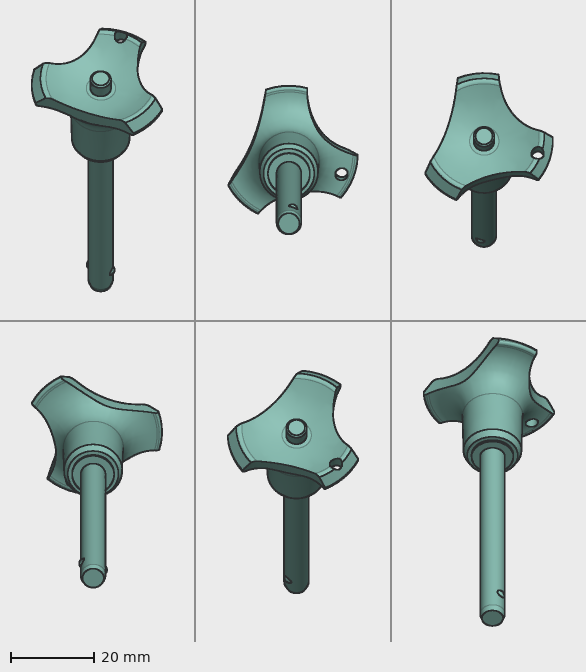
import cadquery as cq
import math


shank_radius = 3.0
shank_length = 57.1
tip_radius = 2.55
tip_height = 1.6

ball_radius = 1.25
ball_reach = 3.52
ball_height_above_tip = 6.35

collar_radius = 5.05
collar_height = 0.55
body_foot_radius = 6.1
body_low_radius = 7.0
body_low_z = 2.3
body_top_radius = 7.25
body_top_z = 14.7
flare_radius = 8.1

rim_radius = 16.6
rim_edge_z = 24.0
rim_corner_radius = 0.75
handle_top_z = 26.6
crest_outer_radius = 14.5
crest_inner_radius = 13.2
crest_drop = 0.15

dish_sphere_radius = 22.5
dish_floor_radius = 3.53

upper_lobe_half_width = 5.43
side_scallop_radius = 15.9
side_scallop_y = 13.5
front_scallop_radius = 52.0
front_scallop_y = -9.25

button_radius = 2.5
button_top_z = 26.35
button_chamfer = 0.45

lanyard_hole_radius = 1.5
lanyard_hole_y = 13.57


def make_shank():
    shank = cq.Workplane("XY").workplane(offset=-shank_length).circle(shank_radius)
    shank = shank.extrude(shank_length + body_low_z)
    return shank.faces("<Z").chamfer(tip_height, shank_radius - tip_radius)


def make_ball(side):
    ball_z = ball_height_above_tip - shank_length
    ball_x = side * (ball_reach - ball_radius)
    return cq.Workplane("XY").sphere(ball_radius).translate((ball_x, 0, ball_z))


def make_handle_revolution():
    """Revolve the handle profile: body, flare, rim, crest and dished top."""
    flare_center_r = body_top_radius + flare_radius
    flare_top_z = body_top_z + flare_radius
    flare_mid_r = flare_center_r - flare_radius * math.cos(math.pi / 4)
    flare_mid_z = body_top_z + flare_radius * math.sin(math.pi / 4)

    corner_inset = rim_corner_radius * (1 - math.cos(math.pi / 4))
    rim_under_radius = rim_radius - rim_corner_radius
    rim_wall_z = flare_top_z + rim_corner_radius
    corner_mid = (rim_radius - corner_inset, flare_top_z + corner_inset)

    crest_mid_r = (crest_outer_radius + crest_inner_radius) / 2
    crest_edge_z = handle_top_z - crest_drop

    def dish_depth(radius):
        return math.sqrt(dish_sphere_radius**2 - radius**2)

    dish_center_z = crest_edge_z + dish_depth(crest_inner_radius)
    dish_mid_r = (crest_inner_radius + dish_floor_radius) / 2
    dish_mid_z = dish_center_z - dish_depth(dish_mid_r)
    dish_floor_z = dish_center_z - dish_depth(dish_floor_radius)

    profile = (
        cq.Workplane("XZ")
        .moveTo(0, 0)
        .lineTo(collar_radius, 0)
        .lineTo(collar_radius, collar_height)
        .lineTo(body_foot_radius, collar_height)
        .lineTo(body_low_radius, body_low_z)
        .lineTo(body_top_radius, body_top_z)
        .threePointArc((flare_mid_r, flare_mid_z), (flare_center_r, flare_top_z))
        .lineTo(rim_under_radius, flare_top_z)
        .threePointArc(corner_mid, (rim_radius, rim_wall_z))
        .lineTo(rim_radius, rim_edge_z)
        .lineTo(crest_outer_radius, crest_edge_z)
        .threePointArc((crest_mid_r, handle_top_z), (crest_inner_radius, crest_edge_z))
        .threePointArc((dish_mid_r, dish_mid_z), (dish_floor_radius, dish_floor_z))
        .lineTo(0, dish_floor_z)
        .close()
    )
    return profile.revolve(360, (0, 0, 0), (0, 1, 0))


def vertical_cylinder(x, y, radius):
    """Cutter that passes through the full height of the handle."""
    return cq.Workplane("XY").center(x, y).circle(radius).extrude(handle_top_z)


def make_handle():
    handle = make_handle_revolution()

    side_scallop_x = upper_lobe_half_width + side_scallop_radius
    for side in (-1, 1):
        side_scallop = vertical_cylinder(side * side_scallop_x, side_scallop_y, side_scallop_radius)
        handle = handle.cut(side_scallop)

    front_scallop_center_y = front_scallop_y - front_scallop_radius
    handle = handle.cut(vertical_cylinder(0, front_scallop_center_y, front_scallop_radius))

    return handle.cut(vertical_cylinder(0, lanyard_hole_y, lanyard_hole_radius))


def make_button():
    button = cq.Workplane("XY").workplane(offset=body_top_z).circle(button_radius)
    button = button.extrude(button_top_z - body_top_z)
    return button.faces(">Z").chamfer(button_chamfer)


result = make_handle().union(make_shank()).union(make_button())
for side in (-1, 1):
    result = result.union(make_ball(side))